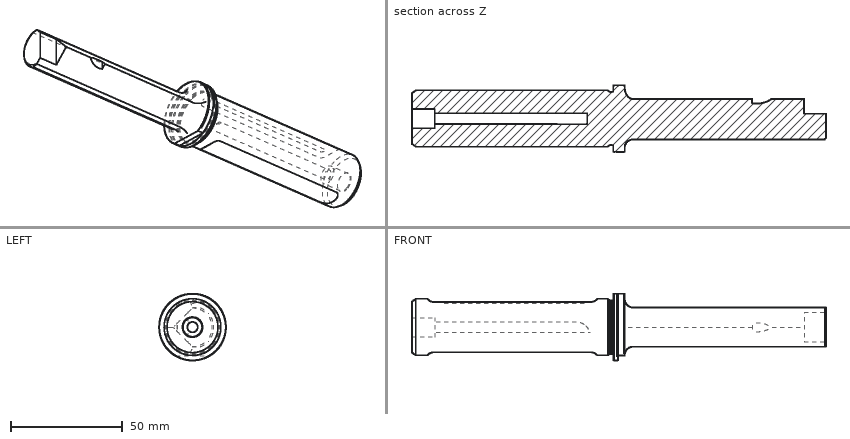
import cadquery as cq
import math

total_length = 185.0
body_end = 88.0
collar_start = 90.0
collar_middle = 92.1
collar_end = 95.0

body_radius = 25.3 / 2
nose_chamfer_length = 1.8
nose_chamfer_depth = 1.3
body_chamfer = 0.5
neck_radius = 12.0
groove_radius = 11.8
groove_start = 88.6
groove_end = 89.4

collar_radius = 15.0
collar_chamfer_length = 0.5
collar_chamfer_depth = 0.2
collar_flat_height = body_radius

flat_height = 11.3
flat_start = 9.8
flat_end = 80.0
runout_radius = 3.7

bore_radius = 4.6 / 2
bore_end = 79.5
bore_end_curve = 6.3
bore_end_drop = 3.9
counterbore_radius = 4.3
counterbore_depth = 10.2
counterbore_chamfer = 0.28

slot_start = 13.7
slot_end = 76.5
slot_width = 3.0
slot_radius = 2.2

shaft_radius = 18.7 / 2
shaft_flat_height = 17.5 / 2
shaft_root_fillet = 3.7
shaft_tip_chamfer = 0.7

step_start = 175.2
step_height = 2.2
notch_start = 151.9
notch_bottom = 154.0
notch_depth = 2.0
notch_radius = 12.0


def x_cylinder(start, end, radius):
    """Cylinder about the X axis between two stations."""
    return cq.Workplane("YZ", origin=(start, 0, 0)).circle(radius).extrude(end - start)


def make_body():
    """Chamfered cylinder, then a thinner grooved neck that reaches into the collar."""
    body = x_cylinder(0, body_end, body_radius)
    body = body.faces("<X").chamfer(nose_chamfer_length, nose_chamfer_depth)
    body = body.faces(">X").edges().chamfer(body_chamfer)
    body = body.union(x_cylinder(body_end, collar_middle, neck_radius))
    groove = x_cylinder(groove_start, groove_end, body_radius).cut(
        x_cylinder(groove_start, groove_end, groove_radius))
    return body.cut(groove)


def make_flat_cut():
    """Long cut above the top flat, with a concave arc at each end."""
    far_height = 2 * body_radius
    arc_top = flat_height + runout_radius
    return (
        cq.Workplane("XZ", origin=(0, body_radius, 0))
        .moveTo(flat_start, flat_height)
        .lineTo(flat_end, flat_height)
        .radiusArc((flat_end + runout_radius, arc_top), -runout_radius)
        .lineTo(flat_end + runout_radius, far_height)
        .lineTo(flat_start - runout_radius, far_height)
        .lineTo(flat_start - runout_radius, arc_top)
        .radiusArc((flat_start, flat_height), -runout_radius)
        .close()
        .extrude(2 * body_radius)
    )


def make_bore():
    """Counterbored blind bore whose end is a curved face sloping down and away."""
    end_cylinder = (
        cq.Workplane("XZ", origin=(bore_end - bore_end_curve, bore_radius, -bore_end_drop))
        .circle(bore_end_curve)
        .extrude(2 * bore_radius)
    )
    straight = x_cylinder(0, bore_end - bore_end_curve, bore_radius)
    curved_end = x_cylinder(bore_end - bore_end_curve, bore_end, bore_radius).intersect(end_cylinder)
    mouth = x_cylinder(0, counterbore_depth, counterbore_radius)
    mouth_cone = (
        cq.Workplane("YZ")
        .circle(counterbore_radius + counterbore_chamfer)
        .workplane(offset=counterbore_chamfer)
        .circle(counterbore_radius)
        .loft(ruled=True)
    )
    return straight.union(curved_end).union(mouth).union(mouth_cone)


def make_slot():
    """Shallow round-bottomed slot in the top flat, with ball-shaped ends."""
    axis_height = flat_height + math.sqrt(slot_radius**2 - (slot_width / 2) ** 2)
    slot = x_cylinder(slot_start, slot_end, slot_radius)
    for end in (slot_start, slot_end):
        slot = slot.union(cq.Workplane("XY", origin=(end, 0, 0)).sphere(slot_radius))
    return slot.translate((0, 0, axis_height))


def chamfer_rim(disc, side):
    """Bevel the rim on one end face, longer along the axis than it is deep."""
    return disc.faces(side).chamfer(collar_chamfer_length, collar_chamfer_depth)


def make_front_disc():
    """Full disc bevelled on both rims."""
    disc = x_cylinder(collar_start, collar_middle, collar_radius)
    return chamfer_rim(chamfer_rim(disc, "<X"), ">X")


def make_rear_disc():
    """Disc bevelled on its rear rim and cut flat below."""
    disc = chamfer_rim(x_cylinder(collar_middle, collar_end, collar_radius), ">X")
    keep = cq.Workplane("XY", origin=(collar_middle, 0, -collar_flat_height)).box(
        collar_end - collar_middle, 2 * collar_radius, 2 * collar_radius, centered=(False, True, False))
    return disc.intersect(keep)


def make_shaft():
    """Bar whose section is a circle trimmed by two flats and a right-angled +Y edge."""
    shaft_length = total_length - collar_end
    round_bar = x_cylinder(collar_end, total_length, shaft_radius)
    round_bar = round_bar.faces(">X").edges().chamfer(shaft_tip_chamfer)
    trim = (
        cq.Workplane("YZ", origin=(collar_end, 0, 0))
        .polyline([
            (-2 * shaft_radius, -shaft_flat_height),
            (0, -shaft_flat_height),
            (shaft_flat_height, 0),
            (0, shaft_flat_height),
            (-2 * shaft_radius, shaft_flat_height),
        ])
        .close()
        .extrude(shaft_length)
    )
    return round_bar.intersect(trim)


def make_step_cut():
    """Cut that removes the pointed edge at the tip."""
    return cq.Workplane("XY", origin=(step_start, step_height, 0)).box(
        total_length, 2 * shaft_radius, 4 * shaft_radius, centered=(False, False, True))


def make_notch_cut():
    """Notch with a square shoulder and a shallow arc rising toward the tip."""
    notch_floor = shaft_flat_height - notch_depth
    disc = (
        cq.Workplane("XY")
        .center(notch_bottom, notch_floor + notch_radius)
        .circle(notch_radius)
        .extrude(shaft_radius, both=True)
    )
    keep = cq.Workplane("XY", origin=(notch_start, 0, 0)).box(
        2 * notch_radius, 8 * notch_radius, 4 * shaft_radius, centered=(False, True, True))
    return disc.intersect(keep)


def root_edges(solid):
    """Edges where the shaft leaves the rear face of the collar."""
    margin = 0.2
    reach = shaft_radius + margin
    around_root = cq.selectors.BoxSelector(
        (collar_end - margin, -reach, -reach),
        (collar_end + margin, reach, reach),
        boundingbox=True,
    )
    return solid.edges(around_root)


flat_cut = make_flat_cut()
handle = make_body().cut(flat_cut).cut(flat_cut.mirror("XY"))
collar = make_front_disc().union(make_rear_disc())

result = handle.union(collar).union(make_shaft())
result = root_edges(result).fillet(shaft_root_fillet)
result = result.cut(make_bore()).cut(make_slot())
result = result.cut(make_step_cut()).cut(make_notch_cut())